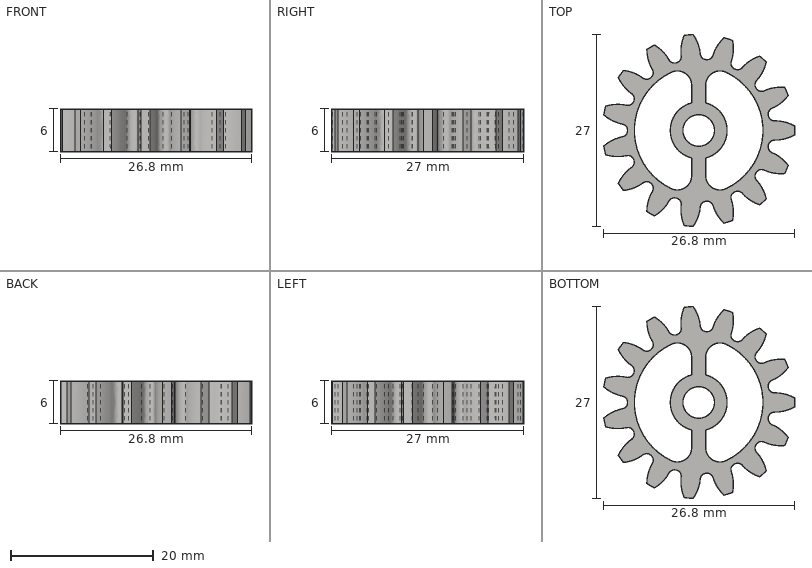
import cadquery as cq
import math

overall_length = 26.95
thickness = 6.0

tooth_count = 15
tip_half_angle = 2.7
root_radius = 10.0
root_land_half_width = 0.08
fillet_middle = 10.4
fillet_middle_half_gap = 0.78
flank_start = 11.2
flank_start_half_width = 1.35
flank_middle = 12.48
flank_middle_half_width = 1.08

bore_diameter = 4.4
hub_diameter = 8.0
rim_inner_radius = 9.0
spoke_width = 2.0
window_fillet = 2.0

pitch_angle = 360 / tooth_count
top_tooth_tilt = round(90 / pitch_angle) * pitch_angle - 90
tip_radius = overall_length / 2 / math.cos(math.radians(top_tooth_tilt - tip_half_angle))


def polar(radius, degrees):
    """Point at a radius and an angle about the gear axis."""
    angle = math.radians(degrees)
    return (radius * math.cos(angle), radius * math.sin(angle))


def turned(x, y, degrees):
    """Point (x, y) turned about the gear axis."""
    return polar(math.hypot(x, y), math.degrees(math.atan2(y, x)) + degrees)


def root_fillet(outline, points, start_angle, end_angle):
    """Add a smooth root curve that leaves and arrives at the given heading angles."""
    directions = [polar(1, start_angle), polar(1, end_angle)]
    return outline.spline(points, tangents=directions, includeCurrent=True)


def gear_blank():
    """Solid toothed disc, drawn counterclockwise tooth by tooth."""
    half_pitch = pitch_angle / 2
    outline = cq.Workplane("XY").moveTo(*turned(root_radius, root_land_half_width, -half_pitch))
    for i in range(tooth_count):
        tooth = i * pitch_angle
        gap_before = tooth - half_pitch
        gap_after = tooth + half_pitch

        rising_fillet = [
            turned(fillet_middle, fillet_middle_half_gap, gap_before),
            turned(flank_start, -flank_start_half_width, tooth),
        ]
        outline = root_fillet(outline, rising_fillet, gap_before + 90, tooth)
        outline = outline.threePointArc(
            turned(flank_middle, -flank_middle_half_width, tooth),
            polar(tip_radius, tooth - tip_half_angle),
        )

        outline = outline.threePointArc(
            polar(tip_radius, tooth),
            polar(tip_radius, tooth + tip_half_angle),
        )

        outline = outline.threePointArc(
            turned(flank_middle, flank_middle_half_width, tooth),
            turned(flank_start, flank_start_half_width, tooth),
        )
        falling_fillet = [
            turned(fillet_middle, -fillet_middle_half_gap, gap_after),
            turned(root_radius, -root_land_half_width, gap_after),
        ]
        outline = root_fillet(outline, falling_fillet, tooth + 180, gap_after + 90)

        outline = outline.lineTo(*turned(root_radius, root_land_half_width, gap_after))
    return outline.close().extrude(thickness)


def windows():
    """Two openings between hub and rim, rounded where the spokes meet the rim."""
    spokes = cq.Workplane("XY").rect(spoke_width, 2 * rim_inner_radius).extrude(thickness)
    hub = cq.Workplane("XY").circle(hub_diameter / 2).extrude(thickness)
    disc = cq.Workplane("XY").circle(rim_inner_radius).extrude(thickness).cut(spokes)
    corners = cq.selectors.BoxSelector(
        (-spoke_width, -rim_inner_radius, 0),
        (spoke_width, rim_inner_radius, thickness),
    )
    return disc.edges("|Z").edges(corners).fillet(window_fillet).cut(hub)


bore = cq.Workplane("XY").circle(bore_diameter / 2).extrude(thickness)
result = gear_blank().cut(windows()).cut(bore)